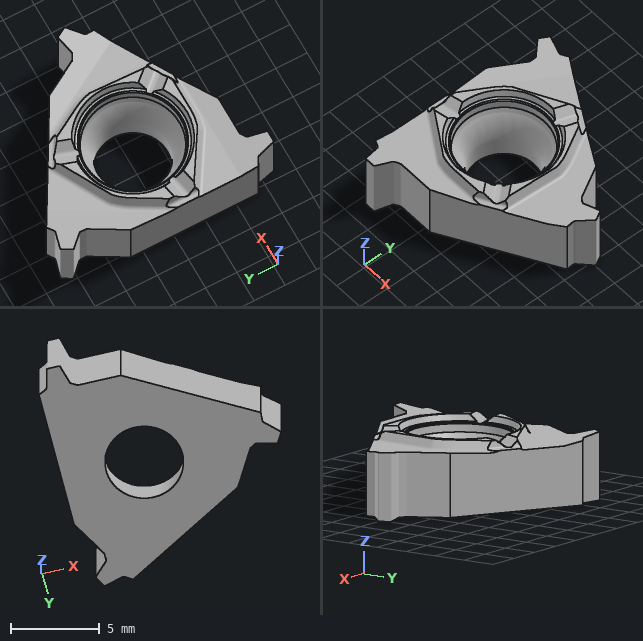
import cadquery as cq
import math

CORNERS = 3
STEP_ANGLE = 360.0 / CORNERS

top_z = 4.1
floor_z = 3.51
ledge_z = 3.6
groove_z = 3.65

clearance = 1.0
pick_margin = 0.02
blank_radius = 12.0

side_distance = 9.525 / 2
shoulder_y = -side_distance / math.cos(math.radians(30))
flank_y = -5.445
root_left_y, root_right_y = -5.69, -5.72
root_left_x, root_right_x = -4.25, -2.87
tip_y = -6.89
tip_left_x, tip_right_x = -3.94, -3.19
shoulder_end_x = -2.49
tip_radius = 0.07
shoulder_radius = 0.15
root_left_radius, root_right_radius = 0.2, 0.1

fold_y = -4.28
rake_angle = math.radians(10)
fold_half_width = 0.04

boss_short_distance = 4.04
boss_arc_radius = 4.0
boss_arc_sweep = math.radians(18.5)
boss_long_slope = math.radians(32)
boss_crease_radius = 0.8
boss_wall_angle = 30.0
boss_foot_radius = 0.3

relief_foot_distance = 4.4
relief_top_distance = 4.28
relief_foot_radius = 0.2

groove_point = (-3.8, -0.93)
groove_direction = 191.5
groove_start = -0.85
groove_length = 3.0
groove_bottom_width = 0.28
groove_half_width = 0.72
groove_bottom_radius = 0.35

hole_radius = 4.4 / 2
seat_end_z = 1.26
seat_top_radius, seat_top_z = 2.82, 2.87
throat_radius, throat_z = 2.97, 3.15
ledge_edge_radius, ledge_edge_z = 3.04, 3.61
rim_ledge_radius, rim_ledge_z = 3.12, 3.68
rim_foot_radius, rim_foot_z = 3.28, 3.72
rim_radius = 3.45


def turned(point, angle):
    """Rotate a plan point about the Z axis."""
    a = math.radians(angle)
    x, y = point
    return (x * math.cos(a) - y * math.sin(a), x * math.sin(a) + y * math.cos(a))


def repeated(points):
    """Repeat plan points once per corner, counter-clockwise."""
    return [turned(p, i * STEP_ANGLE) for i in range(CORNERS) for p in points]


def dot(a, b):
    """Scalar product of two plan vectors."""
    return a[0] * b[0] + a[1] * b[1]


def copies(shape):
    """Copies of a shape, one per corner."""
    return [shape.rotate((0, 0, 0), (0, 0, 1), i * STEP_ANGLE) for i in range(CORNERS)]


def round_edges(prism, points, radius):
    """Fillet the vertical edges through the plan points, at every corner."""
    selector = None
    for x, y in repeated(points):
        box = cq.selectors.BoxSelector(
            (x - pick_margin, y - pick_margin, -clearance),
            (x + pick_margin, y + pick_margin, top_z + clearance),
        )
        selector = box if selector is None else selector + box
    return prism.edges(selector).fillet(radius)


def make_prism():
    """Full-height prism over the body outline, with its tooth corners rounded."""
    flank_end = (-side_distance, flank_y)
    root_left = (root_left_x, root_left_y)
    tip_left = (tip_left_x, tip_y)
    tip_right = (tip_right_x, tip_y)
    root_right = (root_right_x, root_right_y)
    shoulder_end = (shoulder_end_x, shoulder_y)
    shoulder_corner = (0, shoulder_y)
    corner = [flank_end, root_left, tip_left, tip_right, root_right, shoulder_end, shoulder_corner]
    prism = cq.Workplane("XY").polyline(repeated(corner)).close().extrude(top_z)
    prism = round_edges(prism, [tip_left, tip_right], tip_radius)
    prism = round_edges(prism, [root_left], root_left_radius)
    prism = round_edges(prism, [root_right], root_right_radius)
    return round_edges(prism, [shoulder_end], shoulder_radius)


def arc_point(angle):
    """Point on the round stretch of the boss foot, an angle away from the short wall."""
    return (
        -boss_arc_radius * math.sin(angle),
        -boss_short_distance + boss_arc_radius * (1 - math.cos(angle)),
    )


def make_boss_foot():
    """Closed foot line of the boss: short wall, round stretch and long wall per corner."""
    arc_end = arc_point(boss_arc_sweep)
    neighbour_normal = turned((0, -1), -STEP_ANGLE)
    along = (-math.cos(boss_long_slope), math.sin(boss_long_slope))
    gap = boss_short_distance - dot(arc_end, neighbour_normal)
    length = gap / dot(along, neighbour_normal)
    sharp = (arc_end[0] + length * along[0], arc_end[1] + length * along[1])

    foot = cq.Workplane("XY").moveTo(*sharp)
    for i in range(CORNERS):
        angle = i * STEP_ANGLE
        foot = foot.lineTo(*turned(arc_end, angle))
        foot = foot.threePointArc(
            turned(arc_point(boss_arc_sweep / 2), angle),
            turned(arc_point(0), angle),
        )
        if i < CORNERS - 1:
            foot = foot.lineTo(*turned(sharp, angle + STEP_ANGLE))
    return foot.close()


def make_boss_on_floor():
    """Wide floor with the leaning boss and the blend around its foot."""
    height = top_z - floor_z
    plan = make_boss_foot().extrude(height)
    plan = round_edges(plan, [arc_point(boss_arc_sweep)], boss_crease_radius)
    boss = plan.faces("<Z").wires().toPending().extrude(height, taper=boss_wall_angle, combine=False)
    floor = cq.Workplane("XY").circle(blank_radius).extrude(floor_z)
    body = floor.union(boss.translate((0, 0, floor_z)))
    reach = blank_radius - clearance
    foot_edges = cq.selectors.BoxSelector(
        (-reach, -reach, floor_z - pick_margin),
        (reach, reach, floor_z + pick_margin),
        boundingbox=True,
    )
    return body.edges(foot_edges).fillet(boss_foot_radius)


def make_rake_wedge():
    """Wedge rising outwards from the fold line, with a blended fold."""
    blend_start = (fold_y + fold_half_width, floor_z)
    blend_end = (
        fold_y - fold_half_width * math.cos(rake_angle),
        floor_z + fold_half_width * math.sin(rake_angle),
    )
    half_rake = rake_angle / 2
    fold_radius = fold_half_width / math.tan(half_rake)
    crest_z = floor_z + (blank_radius + fold_y) * math.tan(rake_angle)
    blend_middle = (
        blend_start[0] - fold_radius * math.sin(half_rake),
        floor_z + fold_radius * (1 - math.cos(half_rake)),
    )
    return (
        cq.Workplane("YZ", origin=(-blank_radius, 0, 0))
        .moveTo(blend_start[0], 0)
        .lineTo(*blend_start)
        .threePointArc(blend_middle, blend_end)
        .lineTo(-blank_radius, crest_z)
        .lineTo(-blank_radius, 0)
        .close()
        .extrude(2 * blank_radius)
    )


def make_relief_cutter():
    """Trims the boss corner back from the long side at x = -side_distance."""
    return (
        cq.Workplane("XZ", origin=(0, blank_radius, 0))
        .polyline([
            (-blank_radius, ledge_z),
            (-relief_foot_distance, ledge_z),
            (-relief_top_distance, top_z),
            (-blank_radius, top_z),
        ])
        .close()
        .extrude(2 * blank_radius)
        .edges(cq.selectors.NearestToPointSelector((-relief_foot_distance, 0, ledge_z)))
        .fillet(relief_foot_radius)
    )


def make_groove_cutter():
    """V groove with a rounded bottom, running out across a boss corner."""
    along = turned((1, 0), groove_direction)
    origin = (
        groove_point[0] + groove_start * along[0],
        groove_point[1] + groove_start * along[1],
        groove_z,
    )
    across = turned((1, 0), groove_direction + 90)
    plane = cq.Plane(origin=origin, xDir=(*across, 0), normal=(*along, 0))
    depth = top_z - groove_z
    half_bottom = groove_bottom_width / 2
    return (
        cq.Workplane(plane)
        .polyline([
            (-half_bottom, 0),
            (half_bottom, 0),
            (groove_half_width, depth),
            (-groove_half_width, depth),
        ])
        .close()
        .extrude(groove_length)
        .faces("<Z")
        .edges(cq.selectors.ParallelDirSelector(cq.Vector(*along, 0)))
        .fillet(groove_bottom_radius)
    )


def make_hole_cutter():
    """Through hole with a curved screw seat and a flared rim."""
    rise = seat_top_z - seat_end_z
    spread = seat_top_radius - hole_radius
    seat_radius = (rise ** 2 + spread ** 2) / (2 * spread)
    half_sweep = math.asin(rise / seat_radius) / 2
    seat_middle = (
        hole_radius + seat_radius * (1 - math.cos(half_sweep)),
        seat_end_z + seat_radius * math.sin(half_sweep),
    )
    return (
        cq.Workplane("XZ")
        .moveTo(0, 0)
        .lineTo(hole_radius, 0)
        .lineTo(hole_radius, seat_end_z)
        .threePointArc(seat_middle, (seat_top_radius, seat_top_z))
        .lineTo(throat_radius, throat_z)
        .lineTo(ledge_edge_radius, ledge_edge_z)
        .lineTo(rim_ledge_radius, rim_ledge_z)
        .lineTo(rim_foot_radius, rim_foot_z)
        .lineTo(rim_radius, top_z)
        .lineTo(0, top_z)
        .close()
        .revolve(360, (0, 0, 0), (0, 1, 0))
    )


body = make_boss_on_floor()
for cutter in copies(make_relief_cutter()):
    body = body.cut(cutter)
for cutter in copies(make_groove_cutter()):
    body = body.cut(cutter)
for wedge in copies(make_rake_wedge()):
    body = body.union(wedge)

result = make_prism().intersect(body).cut(make_hole_cutter())